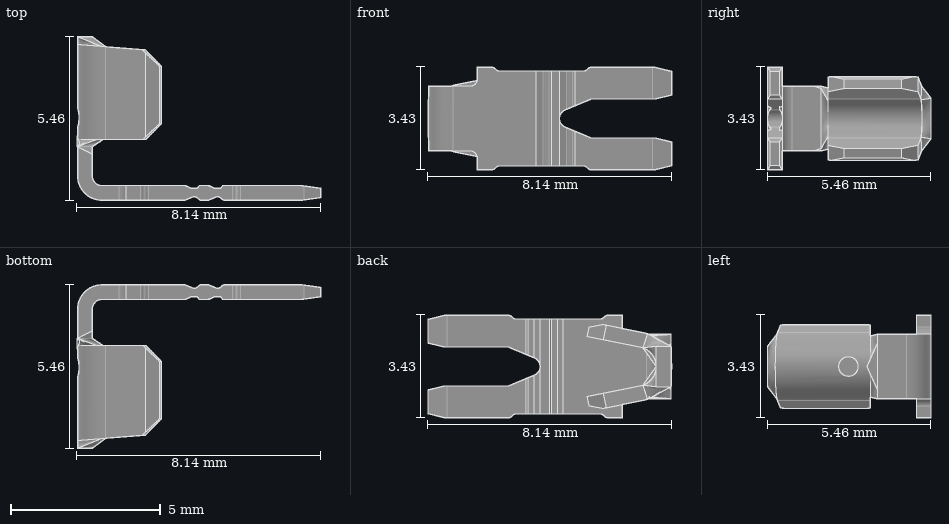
import cadquery as cq
import math

thickness = 0.5
back_x = 0.025
bend_radius = 0.81
leg_half_width = 1.08

length = 8.14
plate_half_width = 3.43 / 2
waist_half_width = 1.59
shoulder_x = 1.645
neck_fillet = 0.23
waist_start_x = 2.2
waist_end_x = 5.39
waist_round = 0.16

slot_x = 4.395
slot_end_radius = 0.31
slot_half_width = 0.64
slot_taper = math.radians(22.6)
tip_side_bevel_x = 7.58
tip_face_bevel_x = 7.505
tip_side_bevel = 0.14
tip_face_bevel = 0.09

groove_xs = (3.61, 4.39)
back_groove = ((0.02, 0), (0.21, 0.09), (0.41, 0.09), (0.48, 0))
front_ramp_end = (0.24, 0.1)
front_floor = (0.33, 0.11)
front_rise = (0.44, 0.06)
front_lip = (0.48, 0.025)
front_groove_end = (0.53, 0)

barrel_radius = 1.155
barrel_start_y = 2.03
barrel_back_end_y = 5.2
barrel_end_slope = 0.078
wing_angle = math.radians(11.3)
wing_bevel_start = 1.37
wing_length = 1.81
wing_bevel_depth = 0.18
wing_tip_start_y = 2.56
wing_tip_end_y = 4.48

neck_y = 1.79
neck_facet_y = 1.54
neck_facet_depth = 0.08
neck_arc_angle = math.radians(62.5)
tail_end_y = 5.46
tail_half_width = 0.675
tail_arc_angle = math.radians(71)
crown_half_width = 0.78
crown_tip_y = 2.14

recess_y = 2.76
recess_radius = 0.325
recess_floor_x = 0.08

barrel_x = back_x + barrel_radius
barrel_inner_radius = barrel_radius - thickness
inner_x = back_x + thickness


def barrel_end_y(x):
    """Y position of the sloping far end of the barrel at a given X."""
    return barrel_back_end_y - barrel_end_slope * (x - back_x)


def make_edge_profile():
    """L-shaped sheet seen along Z, with grooves and beveled prong tips."""
    back = [(x + dx, thickness - dy) for x in groove_xs for dx, dy in back_groove]
    bend_center = (back_x + bend_radius, bend_radius)
    diagonal = math.sqrt(0.5)
    inner_radius = bend_radius - thickness

    def bend_middle(radius):
        return (bend_center[0] - radius * diagonal, bend_center[1] - radius * diagonal)

    profile = cq.Workplane("XY").moveTo(bend_center[0], 0)
    for x in groove_xs:
        profile = (
            profile.lineTo(x, 0)
            .lineTo(x + front_ramp_end[0], front_ramp_end[1])
            .threePointArc(
                (x + front_floor[0], front_floor[1]), (x + front_rise[0], front_rise[1])
            )
            .threePointArc(
                (x + front_lip[0], front_lip[1]), (x + front_groove_end[0], front_groove_end[1])
            )
        )
    profile = (
        profile.lineTo(tip_face_bevel_x, 0)
        .lineTo(length, tip_face_bevel)
        .lineTo(length, thickness - tip_face_bevel)
        .lineTo(tip_face_bevel_x, thickness)
    )
    for point in reversed(back):
        profile = profile.lineTo(*point)
    return (
        profile.lineTo(bend_center[0], thickness)
        .threePointArc(bend_middle(inner_radius), (inner_x, bend_radius))
        .lineTo(inner_x, neck_y)
        .lineTo(back_x, neck_y)
        .lineTo(back_x, bend_radius)
        .threePointArc(bend_middle(bend_radius), (bend_center[0], 0))
        .close()
        .extrude(plate_half_width, both=True)
    )


def make_face_outline():
    """Outline of the leg and plate seen along Y, extruded through the bend and leg."""
    step = plate_half_width - waist_half_width
    margin = 0.04
    upper = [
        (0, leg_half_width),
        (shoulder_x, leg_half_width),
        (shoulder_x, plate_half_width),
        (waist_start_x, plate_half_width),
        (waist_start_x + step, waist_half_width),
        (waist_end_x - step, waist_half_width),
        (waist_end_x, plate_half_width),
        (tip_side_bevel_x, plate_half_width),
        (length, plate_half_width - tip_side_bevel),
    ]
    lower = [(x, -z) for x, z in reversed(upper)]
    outline = cq.Workplane("XZ").polyline(upper + lower).close().extrude(-tail_end_y)

    def corners_between(x_range, half_height):
        zone = cq.selectors.BoxSelector(
            (x_range[0], 0, -half_height), (x_range[1], tail_end_y, half_height)
        )
        return outline.edges("|Y").edges(zone)

    waist_range = (waist_start_x - margin, waist_end_x + margin)
    outline = corners_between(waist_range, length).fillet(waist_round)
    shoulder_range = (shoulder_x - margin, shoulder_x + margin)
    return corners_between(shoulder_range, leg_half_width + margin).fillet(neck_fillet)


def make_slot():
    """Fork slot: round end, tapered throat, parallel sides and flared mouth."""
    center_x = slot_x + slot_end_radius
    tangent_x = center_x - slot_end_radius * math.sin(slot_taper)
    tangent_z = slot_end_radius * math.cos(slot_taper)
    throat_x = tangent_x + (slot_half_width - tangent_z) / math.tan(slot_taper)
    mouth_z = slot_half_width + tip_side_bevel
    return (
        cq.Workplane("XZ")
        .moveTo(tangent_x, -tangent_z)
        .threePointArc((slot_x, 0), (tangent_x, tangent_z))
        .lineTo(throat_x, slot_half_width)
        .lineTo(tip_side_bevel_x, slot_half_width)
        .lineTo(length, mouth_z)
        .lineTo(length, -mouth_z)
        .lineTo(tip_side_bevel_x, -slot_half_width)
        .lineTo(throat_x, -slot_half_width)
        .close()
        .extrude(-thickness)
    )


def make_neck_facet():
    """Cutter for the triangular facet on the leg's upper inner corner, below the neck."""
    fold_start = cq.Vector(back_x, neck_y, leg_half_width)
    fold_end = cq.Vector(inner_x, neck_facet_y, leg_half_width)
    facet_tip = cq.Vector(inner_x, neck_y, leg_half_width - neck_facet_depth)
    fold = fold_end - fold_start
    facet_plane = cq.Plane(
        origin=fold_start.toTuple(),
        xDir=fold.toTuple(),
        normal=fold.cross(facet_tip - fold_start).toTuple(),
    )
    return (
        cq.Workplane(facet_plane)
        .rect(fold.Length, thickness, centered=False)
        .extrude(leg_half_width - neck_facet_depth)
    )


def wing_point(along, depth):
    """XZ point measured along the upper wing and inward from its outer face."""
    radius = barrel_radius - depth
    x = barrel_x - radius * math.sin(wing_angle) + along * math.cos(wing_angle)
    z = radius * math.cos(wing_angle) + along * math.sin(wing_angle)
    return (x, z)


def make_half_barrel():
    """Upper half of the crimp barrel with its trimmed wing."""
    middle_angle = (math.pi / 2 - wing_angle) / 2

    def arc_middle(radius):
        return (barrel_x - radius * math.cos(middle_angle), radius * math.sin(middle_angle))

    half = (
        cq.Workplane("XZ", origin=(0, barrel_start_y, 0))
        .moveTo(back_x, 0)
        .threePointArc(arc_middle(barrel_radius), wing_point(0, 0))
        .lineTo(*wing_point(wing_bevel_start, 0))
        .lineTo(*wing_point(wing_length, wing_bevel_depth))
        .lineTo(*wing_point(wing_length, thickness))
        .lineTo(*wing_point(0, thickness))
        .threePointArc(arc_middle(barrel_inner_radius), (inner_x, 0))
        .close()
        .extrude(barrel_start_y - tail_end_y)
    )
    end_trim = (
        cq.Workplane("XY")
        .polyline([
            (0, barrel_end_y(0)),
            (length, barrel_end_y(length)),
            (length, length),
            (0, length),
        ])
        .close()
        .extrude(length)
    )

    wing_tip_x, wing_tip_z = wing_point(wing_length, thickness / 2)
    wing_plane = cq.Plane(
        origin=(wing_tip_x, 0, wing_tip_z),
        xDir=(math.cos(wing_angle), 0, math.sin(wing_angle)),
        normal=(-math.sin(wing_angle), 0, math.cos(wing_angle)),
    )
    reach = wing_length / 2
    half = half.cut(end_trim)
    for corner_y, side in ((wing_tip_start_y, -1), (wing_tip_end_y, 1)):
        corner = (
            cq.Workplane(wing_plane)
            .polyline([
                (0, corner_y),
                (-reach, corner_y + side * reach),
                (0, corner_y + side * reach),
            ])
            .close()
            .extrude(thickness, both=True)
        )
        half = half.cut(corner)
    return half


def closed_wire(outer_edge, inner_edge):
    """Join an outer and an inner edge, both running from -Z to +Z, with straight ends."""
    return cq.Wire.assembleEdges([
        outer_edge,
        cq.Edge.makeLine(outer_edge.endPoint(), inner_edge.endPoint()),
        inner_edge,
        cq.Edge.makeLine(inner_edge.startPoint(), outer_edge.startPoint()),
    ])


def flat_section(y, outer_half_width, inner_half_width):
    """Section of the flat sheet, which may be narrower on its inner face."""
    def edge(x, half_width):
        return cq.Edge.makeLine(cq.Vector(x, y, -half_width), cq.Vector(x, y, half_width))

    return closed_wire(edge(back_x, outer_half_width), edge(inner_x, inner_half_width))


def arc_section(half_angle, y_at):
    """Section of the barrel's arc; y_at gives Y for each X."""
    def edge(radius):
        points = []
        for angle in (-half_angle, 0, half_angle):
            x = barrel_x - radius * math.cos(angle)
            points.append(cq.Vector(x, y_at(x), radius * math.sin(angle)))
        return cq.Edge.makeThreePointArc(*points)

    return closed_wire(edge(barrel_radius), edge(barrel_inner_radius))


def make_transition(flat, arc):
    """Straight-ruled blend from the flat sheet to the curved barrel."""
    return cq.Workplane("XY").add(cq.Solid.makeLoft([flat, arc], True))


def make_crown():
    """Shallow triangular swelling on the back of the neck, pointing at the barrel."""
    swelling = (
        cq.Workplane("XZ", origin=(0, neck_y, 0))
        .moveTo(inner_x, -crown_half_width)
        .lineTo(back_x, -crown_half_width)
        .threePointArc((0, 0), (back_x, crown_half_width))
        .lineTo(inner_x, crown_half_width)
        .close()
        .extrude(neck_y - crown_tip_y)
    )
    triangle = (
        cq.Workplane("YZ")
        .polyline([(neck_y, -crown_half_width), (neck_y, crown_half_width), (crown_tip_y, 0)])
        .close()
        .extrude(inner_x)
    )
    return swelling.intersect(triangle)


sheet = make_edge_profile().intersect(make_face_outline()).cut(make_slot())
neck_facet = make_neck_facet()
sheet = sheet.cut(neck_facet).cut(neck_facet.mirror("XY"))

half_barrel = make_half_barrel()
barrel = half_barrel.union(half_barrel.mirror("XY"))

neck = make_transition(
    flat_section(neck_y, leg_half_width, leg_half_width - neck_facet_depth),
    arc_section(neck_arc_angle, lambda x: barrel_start_y),
)
tail = make_transition(
    flat_section(tail_end_y, tail_half_width, tail_half_width),
    arc_section(tail_arc_angle, barrel_end_y),
)
recess = (
    cq.Workplane("YZ")
    .center(recess_y, 0)
    .circle(recess_radius)
    .extrude(recess_floor_x)
)

result = sheet.union(neck).union(barrel).union(tail).union(make_crown()).cut(recess)